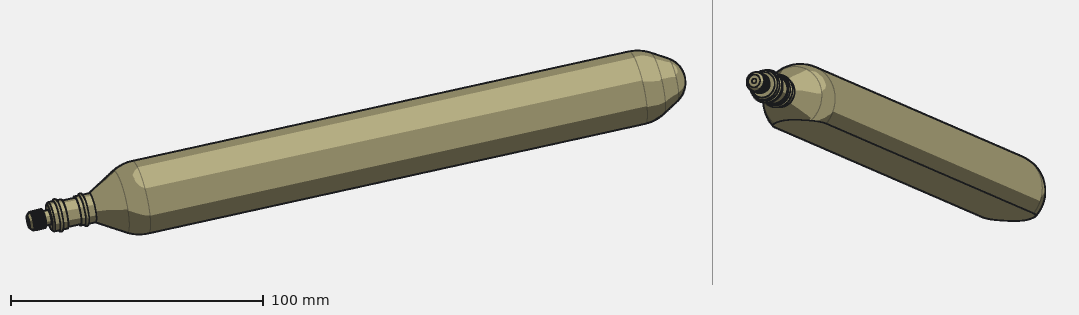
import cadquery as cq
import math

length = 270.5

bar_diameter = 29.5
bar_height = 24.5
bar_radius = bar_diameter / 2
flat_depth = bar_height - bar_radius
cone_angle = math.radians(30)
shoulder_radius = 16.2
bar_start = 46.0
bar_end = 250.8

neck_start = 8.7
neck_radius = 6.0
neck_chamfer = 0.8
relief_start = 15.0
relief_end = 20.3
relief_radius = 5.5

o_ring_places = [12.2, 22.7]
o_ring_wire_radius = 0.68
o_ring_centre_radius = neck_radius

thread_radius = 7.8 / 2
thread_root_radius = 6.8 / 2
thread_pitch = 0.8
thread_ridges = 8
tip_chamfer = 1.4
shank_radius = 3.0
stud_length = 15.0

pin_radius = 0.95
pin_length = stud_length

cone_slope = math.tan(cone_angle)
shoulder_length = shoulder_radius * math.sin(cone_angle)
cone_radius = bar_radius - shoulder_radius * (1 - math.cos(cone_angle))
front_cone_wide_end = bar_start - shoulder_length
front_cone_narrow_end = front_cone_wide_end - (cone_radius - neck_radius) / cone_slope
back_cone_start = bar_end + shoulder_length
back_cone_point = back_cone_start + cone_radius / cone_slope
dome_radius = (back_cone_point - length) / (1 / math.sin(cone_angle) - 1)
dome_centre = length - dome_radius


def turned(profile):
    """Revolve a closed (Y, radius) profile about the Y axis."""
    return profile.close().revolve(360, (0, 0, 0), (1, 0, 0))


def on_arc(centre_y, centre_height, radius, angle):
    """Point of an arc, with the angle measured from the radial direction towards +Y."""
    return (centre_y + radius * math.sin(angle), centre_height + radius * math.cos(angle))


def make_housing_blank():
    shoulder_middle = cone_angle / 2
    shoulder_height = bar_radius - shoulder_radius
    dome_middle = (cone_angle + math.pi / 2) / 2
    profile = (
        cq.Workplane("YZ")
        .moveTo(neck_start, 0)
        .lineTo(neck_start, neck_radius - neck_chamfer)
        .lineTo(neck_start + neck_chamfer, neck_radius)
        .lineTo(relief_start, neck_radius)
        .lineTo(relief_start, relief_radius)
        .lineTo(relief_end, relief_radius)
        .lineTo(relief_end, neck_radius)
        .lineTo(front_cone_narrow_end, neck_radius)
        .lineTo(front_cone_wide_end, cone_radius)
        .threePointArc(
            on_arc(bar_start, shoulder_height, shoulder_radius, -shoulder_middle),
            (bar_start, bar_radius),
        )
        .lineTo(bar_end, bar_radius)
        .threePointArc(
            on_arc(bar_end, shoulder_height, shoulder_radius, shoulder_middle),
            (back_cone_start, cone_radius),
        )
        .lineTo(*on_arc(dome_centre, 0, dome_radius, cone_angle))
        .threePointArc(on_arc(dome_centre, 0, dome_radius, dome_middle), (length, 0))
    )
    below_flat = (
        cq.Workplane("XY")
        .workplane(offset=-flat_depth)
        .center(0, length / 2)
        .rect(2 * bar_radius, length)
        .extrude(flat_depth - bar_radius)
    )
    return turned(profile).cut(below_flat)


def make_o_ring(place):
    wire = cq.Workplane("YZ").center(place, o_ring_centre_radius).circle(o_ring_wire_radius)
    return wire.revolve(360, (0, -o_ring_centre_radius, 0), (1, -o_ring_centre_radius, 0))


def make_stud_blank():
    profile = cq.Workplane("YZ").moveTo(0, 0).lineTo(0, thread_root_radius)
    for ridge in range(thread_ridges):
        ridge_start = ridge * thread_pitch
        profile = (
            profile
            .lineTo(ridge_start + thread_pitch / 2, thread_radius)
            .lineTo(ridge_start + thread_pitch, thread_root_radius)
        )
    thread_end = thread_ridges * thread_pitch
    profile = (
        profile
        .lineTo(thread_end, shank_radius)
        .lineTo(stud_length, shank_radius)
        .lineTo(stud_length, 0)
    )
    chamfered_bar = (
        cq.Workplane("YZ")
        .moveTo(0, 0)
        .lineTo(0, thread_radius - tip_chamfer)
        .lineTo(tip_chamfer, thread_radius)
        .lineTo(stud_length, thread_radius)
        .lineTo(stud_length, 0)
    )
    return turned(profile).intersect(turned(chamfered_bar))


def make_pin():
    return cq.Workplane("XZ").circle(pin_radius).extrude(-pin_length)


pin = make_pin()
stud_blank = make_stud_blank()
stud = stud_blank.cut(pin)
o_rings = [make_o_ring(place) for place in o_ring_places]

housing = make_housing_blank().cut(stud_blank)
for o_ring in o_rings:
    housing = housing.cut(o_ring)

result = cq.Compound.makeCompound(
    [housing.val(), stud.val(), pin.val(), *[o_ring.val() for o_ring in o_rings]]
)